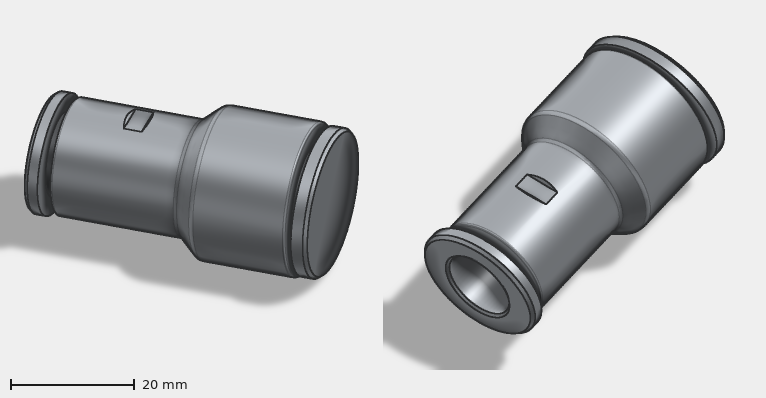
import cadquery as cq


length = 48.9
small_collar_end = 2.35
body_start = 4.0
cone_start = 25.35
cone_end = 28.85
body_end = 44.9
large_collar_start = 46.25

small_body_radius = 9.8
large_body_radius = 12.8
small_neck_radius = 7.0
large_neck_radius = 9.5

small_collar_width = 22.3
small_collar_height = 19.4
large_collar_width = 27.0
large_collar_height = 23.9

body_rim_fillet = 0.35
cone_foot_fillet = 1.0
cone_top_fillet = 1.2
collar_chamfer_length = 0.65
collar_chamfer_inset = 0.5

socket_radius = 6.0
socket_depth = cone_start
mouth_chamfer = 0.45

notch_center = 15.85
notch_floor_length = 3.05
notch_depth = 0.5


def cylinder(start, end, radius):
    """Round bar along X between two axial positions."""
    return cq.Workplane("YZ", origin=(start, 0, 0)).circle(radius).extrude(end - start)


def body():
    """Two round diameters joined by a cone, with softened rims."""
    outline = [
        (body_start, 0),
        (body_start, small_body_radius),
        (cone_start, small_body_radius),
        (cone_end, large_body_radius),
        (body_end, large_body_radius),
        (body_end, 0),
    ]
    shape = cq.Workplane("XY").polyline(outline).close().revolve(360, (0, 0, 0), (1, 0, 0))

    def soften(solid, position, radius, fillet):
        edge = cq.selectors.BoxSelector(
            (position - fillet, -2 * radius, -2 * radius),
            (position + fillet, 2 * radius, 2 * radius),
            boundingbox=True,
        )
        return solid.edges("%CIRCLE").edges(edge).fillet(fillet)

    shape = soften(shape, cone_start, small_body_radius, cone_foot_fillet)
    shape = soften(shape, cone_end, large_body_radius, cone_top_fillet)
    shape = soften(shape, body_start, small_body_radius, body_rim_fillet)
    return soften(shape, body_end, large_body_radius, body_rim_fillet)


def oval_collar(inner_face, outer_face, width, height):
    """Elliptical flange whose outer-face rim is chamfered."""
    outward = 1 if outer_face > inner_face else -1
    shoulder = outer_face - outward * collar_chamfer_length
    half_width = width / 2
    half_height = height / 2
    plate = (
        cq.Workplane("YZ", origin=(inner_face, 0, 0))
        .ellipse(half_width, half_height)
        .extrude(shoulder - inner_face)
    )
    rim = (
        cq.Workplane("YZ", origin=(shoulder, 0, 0))
        .ellipse(half_width, half_height)
        .workplane(offset=outer_face - shoulder)
        .ellipse(half_width - collar_chamfer_inset, half_height - collar_chamfer_inset)
        .loft(ruled=True)
    )
    return plate.union(rim)


def notch():
    """Trapezoidal cutter spanning the body along Y."""
    floor_height = small_body_radius - notch_depth
    cutter_height = 2 * notch_depth
    half_floor = notch_floor_length / 2
    half_top = half_floor + cutter_height
    outline = [
        (notch_center - half_floor, floor_height),
        (notch_center + half_floor, floor_height),
        (notch_center + half_top, floor_height + cutter_height),
        (notch_center - half_top, floor_height + cutter_height),
    ]
    return cq.Workplane("XZ").polyline(outline).close().extrude(small_body_radius, both=True)


def socket():
    """Blind tube socket with a chamfered mouth."""
    outline = [
        (0, 0),
        (0, socket_radius + mouth_chamfer),
        (mouth_chamfer, socket_radius),
        (socket_depth, socket_radius),
        (socket_depth, 0),
    ]
    return cq.Workplane("XY").polyline(outline).close().revolve(360, (0, 0, 0), (1, 0, 0))


small_neck = cylinder(small_collar_end, body_start, small_neck_radius)
large_neck = cylinder(body_end, large_collar_start, large_neck_radius)
small_collar = oval_collar(small_collar_end, 0, small_collar_width, small_collar_height)
large_collar = oval_collar(large_collar_start, length, large_collar_width, large_collar_height)

result = (
    body()
    .cut(notch())
    .union(small_neck)
    .union(large_neck)
    .union(small_collar)
    .union(large_collar)
    .cut(socket())
)